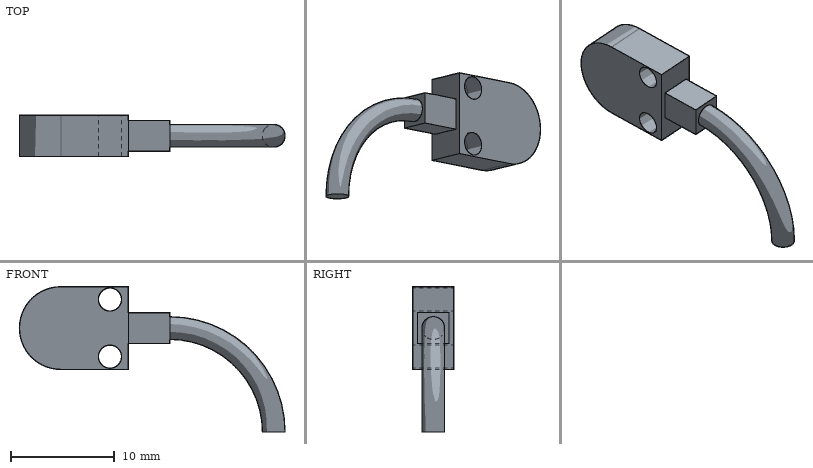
import cadquery as cq

overall_length = 25.6
body_height = 8.0
body_length = 10.5
body_thickness = 4.0
neck_length = 4.0
neck_size = 3.0
cable_diameter = 2.2
hole_diameter = 2.2
hole_inset = 1.77
hole_spacing = 5.5

nose_radius = body_height / 2
neck_end = body_length + neck_length
bend_radius = overall_length - cable_diameter / 2 - neck_end


def make_body():
    """Plate with a semicircular nose and a flat rear end."""
    return (
        cq.Workplane("XZ")
        .moveTo(nose_radius, nose_radius)
        .lineTo(body_length, nose_radius)
        .lineTo(body_length, -nose_radius)
        .lineTo(nose_radius, -nose_radius)
        .threePointArc((0, 0), (nose_radius, nose_radius))
        .close()
        .extrude(body_thickness / 2, both=True)
    )


def make_holes():
    """Two through holes near the rear end of the body."""
    return (
        cq.Workplane("XZ")
        .center(body_length - hole_inset, 0)
        .rarray(0.25, hole_spacing, 1, 2)
        .circle(hole_diameter / 2)
        .extrude(body_thickness, both=True)
    )


def make_neck():
    """Square block between the body and the cable."""
    return (
        cq.Workplane("YZ", origin=(body_length, 0, 0))
        .rect(neck_size, neck_size)
        .extrude(neck_length)
    )


def make_cable():
    """Round cable leaving along X and turning a quarter circle down to -Z."""
    return (
        cq.Workplane("YZ", origin=(neck_end, 0, 0))
        .circle(cable_diameter / 2)
        .revolve(90, (0, -bend_radius), (1, -bend_radius))
    )


result = make_body().cut(make_holes()).union(make_neck()).union(make_cable())